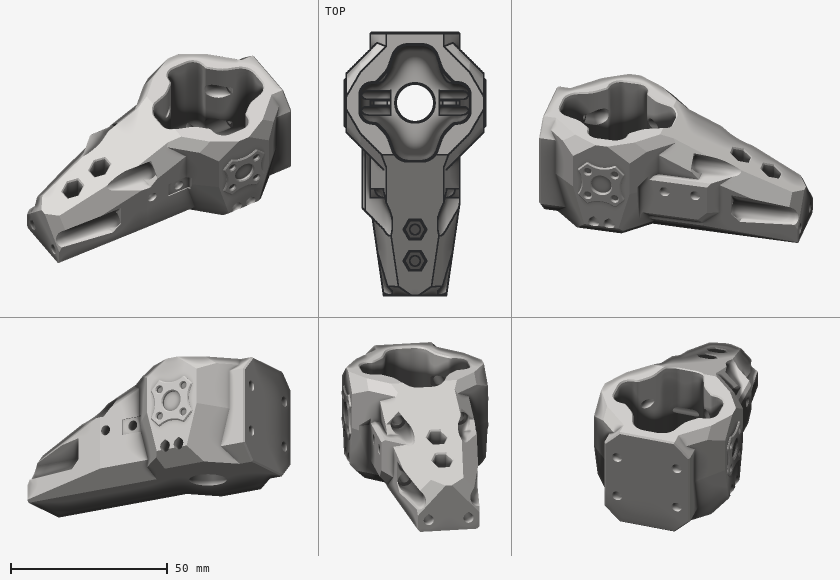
import cadquery as cq
import math

HEIGHT = 35.0
BACK_Y = 22.5
FRONT_Y = -61.5
BIG = 200.0
OVERCUT = 1.0
ON_OUTLINE = 0.005
INSIDE = cq.Vector(0, -5, 10)
SIDES = (-1, 1)

BEAM_HALF = 14.35
TIP_HALF = 10.0
TAPER_Y = -31.5
EDGE_CUT = 5.15
SLOPE_EDGE_DROP = 5.3
SLOPE_Y = -16.5
TIP_Z = 15.1
TIP_BEVEL_Y = -58.6
TIP_BEVEL_LOW_Z = 5.5
TIP_BEVEL_TOP_X = 1.0
END_CHAMFER = 0.5
SLOPE = (HEIGHT - TIP_Z) / (SLOPE_Y - FRONT_Y)
TAPER = (BEAM_HALF - TIP_HALF) / (TAPER_Y - FRONT_Y)

HEAD_HALF = 22.0
HEAD_FLAT = 9.3
HEAD_DIAGONAL = HEAD_HALF + HEAD_FLAT
CROWN = 2.9
CORNER_X = 17.3
CORNER_Y = 10.0
FACET_SIDE_Y = 1.9
FACET_SIDE_Z = 29.8
WAIST_Z = 18.3
WAIST_BEAM_Z = 17.25
LEAN_Y = 5.6
HEAD_BASE_CUT = 4.7
LEAN_BASE_CUT = 3.1

FLOOR_Z = 7.1
FLOOR_FILLET = 2.0
RIM_CHAMFER = 0.45
LOBE_CORNERS = [(5.7, 18.4, 5.0), (8.5, 10.3, 8.0), (12.2, 6.4, 1.5), (17.4, 5.9, 3.9)]
BORE_D = 12.0
BORE_CHAMFER = 0.4

SCREW_D = 3.3
SCREW_HEAD_D = 5.6
SCREW_X = 10.0
LOW_SCREW_Z = 10.1
HIGH_SCREW_Z = 25.1
LOW_SLOT_Y = -40.4
HIGH_SLOT_Y = -27.4
REAR_SEAT_Y = 13.6
HEAD_RECESS = 3.6

BLOCK_X = 16.85
BLOCK_TOP_Z = HIGH_SCREW_Z - SCREW_HEAD_D / 2
BLOCK_TOP_CHAMFER = 1.0
BLOCK_LOW_Z = 8.7
BLOCK_FRONT_Y = -33.5
BLOCK_CORNER = 3.1
BLOCK_REAR_Y = -11.2
BLOCK_RELIEF_Z = 19.7
CROSS_HOLE_Y = (-19.5, -29.5)
CROSS_HOLE_Z = 17.6
FAR_RELIEF_LENGTH = 7.8
FAR_RELIEF_HEIGHT = 5.2
FAR_RELIEF_DEPTH = 0.3

PAD_Z = 20.45
PAD_RAISE = 0.5
PAD_CHAMFER = 0.4
PAD_HOLE_OFFSET = 4.43
PAD_HOLE_D = 2.2
PAD_REACH = 7.9
PAD_TIP_HALF = 4.6
PAD_CORNER_R = 0.7
PAD_WAIST = 6.4
PAD_BORE_D = 6.6
PAD_HOLE_CHAMFER = 0.35
PAD_DEPTH = 1.0

PIN_D = 3.6
PIN_Y = 2.53
PIN_Z = 5.9
PIN_END_X = 7.7
ROOF_RISE = 1.25
TROUGH_WIDTH = 2.2
TROUGH_DEPTH = 1.1
TROUGH_END_X = 14.3
TIP_HOLE_X = 6.45
TIP_HOLE_Z = 3.8
TIP_HOLE_DEPTH = 10.0
NUT_Y = (-40.4, -50.4)
NUT_FLATS = 5.7
NUT_FLOOR_Z = 10.0
NUT_HOLE_END_Z = 3.0
NUT_CHAMFER = 0.4


def trim(body, p, q, r):
    """Remove everything beyond the plane through three points."""
    a, b, c = cq.Vector(*p), cq.Vector(*q), cq.Vector(*r)
    normal = (b - a).cross(c - a)
    if normal.dot(INSIDE - a) > 0:
        normal = normal * -1
    plane = cq.Plane(origin=a, normal=normal)
    return body.cut(cq.Workplane(plane).rect(BIG, BIG).extrude(BIG))


def trim_sides(body, *points):
    """Trim with a plane on +X and its mirror image on -X."""
    for side in SIDES:
        body = trim(body, *[(side * x, y, z) for x, y, z in points])
    return body


def slope_z(y):
    """Height of the sloped top at a given y."""
    return HEIGHT - SLOPE * (SLOPE_Y - y)


def cylinder_x(d, x0, x1, y, z):
    return cq.Workplane("YZ", origin=(x0, 0, 0)).center(y, z).circle(d / 2).extrude(x1 - x0)


def cylinder_y(d, y0, y1, x, z):
    return cq.Workplane("XZ", origin=(0, y0, 0)).center(x, z).circle(d / 2).extrude(y0 - y1)


def cylinder_z(d, z0, z1, y):
    return cq.Workplane("XY", origin=(0, y, z0)).circle(d / 2).extrude(z1 - z0)


def teardrop(plane, d, u, v):
    """A round hole outline with a pointed roof."""
    r = d / 2
    rise = r / ROOF_RISE
    half = math.sqrt(r ** 2 - rise ** 2)
    return (plane.moveTo(u - half, v + rise).threePointArc((u, v - r), (u + half, v + rise))
            .lineTo(u, v + r * ROOF_RISE).close())


def make_beam():
    """Chamfered beam that narrows and slopes down to the tip."""
    outline = [(-BEAM_HALF, BACK_Y), (BEAM_HALF, BACK_Y), (BEAM_HALF, TAPER_Y), (TIP_HALF, FRONT_Y),
               (-TIP_HALF, FRONT_Y), (-BEAM_HALF, TAPER_Y)]
    beam = cq.Workplane("XY").polyline(outline).close().extrude(HEIGHT)
    inner = BEAM_HALF - EDGE_CUT
    tip_inner = TIP_HALF - EDGE_CUT
    beam = trim_sides(beam, (inner, 0, 0), (inner, 1, 0), (BEAM_HALF, 0, EDGE_CUT))
    beam = trim_sides(beam, (inner, 0, HEIGHT), (inner, 1, HEIGHT), (BEAM_HALF, 0, HEIGHT - EDGE_CUT))
    beam = trim_sides(beam, (inner, SLOPE_Y, HEIGHT), (inner, TAPER_Y, slope_z(TAPER_Y)),
                      (BEAM_HALF, SLOPE_Y, HEIGHT - SLOPE_EDGE_DROP))
    beam = trim_sides(beam, (inner, TAPER_Y, slope_z(TAPER_Y)), (tip_inner, FRONT_Y, TIP_Z),
                      (BEAM_HALF, TAPER_Y, slope_z(TAPER_Y) - SLOPE_EDGE_DROP))
    bevel_x = tip_inner + TAPER * (TIP_BEVEL_Y - FRONT_Y)
    beam = trim_sides(beam, (TIP_HALF, FRONT_Y, TIP_BEVEL_LOW_Z), (TIP_BEVEL_TOP_X, FRONT_Y, TIP_Z),
                      (bevel_x, TIP_BEVEL_Y, slope_z(TIP_BEVEL_Y)))
    return beam.faces(">Y").chamfer(END_CHAMFER)


def make_head():
    """Faceted octagonal housing around the bore."""
    d = HEAD_DIAGONAL
    rear_y = BACK_Y - OVERCUT
    rear_x = d - rear_y
    outline = [(HEAD_HALF, HEAD_FLAT), (rear_x, rear_y), (-rear_x, rear_y), (-HEAD_HALF, HEAD_FLAT),
               (-HEAD_HALF, -HEAD_FLAT), (0, -d), (HEAD_HALF, -HEAD_FLAT)]
    head = cq.Workplane("XY").polyline(outline).close().extrude(HEIGHT)
    base_x = HEAD_HALF - HEAD_BASE_CUT
    head = trim_sides(head, (base_x, 0, 0), (base_x, 1, 0), (HEAD_HALF, 0, HEAD_BASE_CUT))
    lean = (HEAD_FLAT - LEAN_Y) / (WAIST_Z - HEAD_BASE_CUT)
    low_diagonal = HEAD_HALF + LEAN_Y - lean * (HEAD_BASE_CUT - LEAN_BASE_CUT)
    base_diagonal = low_diagonal - LEAN_BASE_CUT * math.sqrt(2)
    crown_diagonal = d - CROWN * math.sqrt(2)
    for end in SIDES:
        head = trim_sides(head, (crown_diagonal, 0, HEIGHT), (0, end * crown_diagonal, HEIGHT),
                          (d, 0, HEIGHT - CROWN))
        head = trim_sides(head, (CORNER_X, end * CORNER_Y, HEIGHT), (HEAD_HALF, end * FACET_SIDE_Y, HEIGHT),
                          (HEAD_HALF, end * HEAD_FLAT, FACET_SIDE_Z))
        head = trim_sides(head, (HEAD_HALF, end * HEAD_FLAT, WAIST_Z),
                          (HEAD_HALF, end * LEAN_Y, HEAD_BASE_CUT),
                          (BEAM_HALF, end * (d - BEAM_HALF), WAIST_BEAM_Z))
    return trim_sides(head, (low_diagonal, 0, LEAN_BASE_CUT), (0, -low_diagonal, LEAN_BASE_CUT),
                      (base_diagonal, 0, 0))


def cut_block_relief(head):
    """Clear the head beside the rear end of the block."""
    rise = HEIGHT - BLOCK_RELIEF_Z
    outline = [(BLOCK_REAR_Y, -OVERCUT), (BLOCK_REAR_Y, BLOCK_RELIEF_Z), (BLOCK_REAR_Y - rise, HEIGHT),
               (FRONT_Y, HEIGHT), (FRONT_Y, -OVERCUT)]
    relief = cq.Workplane("YZ", origin=(-BLOCK_X, 0, 0)).polyline(outline).close().extrude(-BIG)
    return head.cut(relief)


def make_block():
    """Chamfered side block on -X that carries the cross holes."""
    root_x = SCREW_X
    c = BLOCK_TOP_CHAMFER
    outline = [(-root_x, BLOCK_TOP_Z), (c - BLOCK_X, BLOCK_TOP_Z), (-BLOCK_X, BLOCK_TOP_Z - c),
               (-BLOCK_X, BLOCK_LOW_Z), (-root_x, BLOCK_LOW_Z - BLOCK_X + root_x)]
    block = (cq.Workplane("XZ", origin=(0, BLOCK_REAR_Y, 0)).polyline(outline).close()
             .extrude(BLOCK_REAR_Y - FRONT_Y))
    face_edge = (-BLOCK_X, BLOCK_FRONT_Y, BLOCK_LOW_Z + BLOCK_CORNER)
    block = trim(block, face_edge, (-BLOCK_X, BLOCK_FRONT_Y, 0),
                 (-root_x, BLOCK_FRONT_Y - BLOCK_X + root_x, 0))
    inset = BLOCK_X - BEAM_HALF
    return trim(block, face_edge, (-BLOCK_X, BLOCK_FRONT_Y + BLOCK_CORNER, BLOCK_LOW_Z),
                (-BEAM_HALF, TAPER_Y, BLOCK_LOW_Z - inset))


def lobe_outline():
    """Sharp-cornered outline of the four-lobed cavity."""
    corners = [(x, y) for x, y, _ in LOBE_CORNERS]
    right = corners + [(x, -y) for x, y in reversed(corners)]
    return right + [(-x, -y) for x, y in right]


def make_cavity():
    """Four-lobed cavity solid with rounded upright corners."""
    cavity = cq.Workplane("XY", origin=(0, 0, FLOOR_Z)).polyline(lobe_outline()).close().extrude(HEIGHT)
    for x, y, radius in LOBE_CORNERS:
        for sx in SIDES:
            for sy in SIDES:
                spot = cq.selectors.NearestToPointSelector((sx * x, sy * y, FLOOR_Z + HEIGHT / 2))
                cavity = cavity.edges("|Z").edges(spot).fillet(radius)
    return cavity


def cut_cavity(body):
    """Cut the cavity, chamfer its rim and open the bore in its floor."""
    cavity = make_cavity()
    walls = cavity.faces("<Z").val().outerWire()
    body = body.cut(cavity.faces("<Z").edges().fillet(FLOOR_FILLET))

    def on_rim(edge):
        middle = edge.positionAt(0.5)
        foot = cq.Vertex.makeVertex(middle.x, middle.y, FLOOR_Z)
        return middle.z > HEIGHT / 2 and walls.distance(foot) < ON_OUTLINE

    rim = [edge for edge in body.edges().vals() if on_rim(edge)]
    body = body.newObject(rim).chamfer(RIM_CHAMFER)
    bore = cylinder_z(BORE_D, -OVERCUT, HEIGHT, 0)
    flare = (cq.Workplane("XY", origin=(0, 0, FLOOR_Z)).circle(BORE_D / 2 + BORE_CHAMFER)
             .workplane(offset=-BORE_CHAMFER).circle(BORE_D / 2).loft())
    return body.cut(bore).cut(flare)


def screw_slot(side, z, rear_y):
    """Room for a screw head that opens to the side of the beam."""
    r = SCREW_HEAD_D / 2
    k = r / math.sqrt(2)
    reach = BEAM_HALF
    length = rear_y - FRONT_Y + OVERCUT
    section = [(SCREW_X - k, z + k), (SCREW_X - k + reach, z + k + reach), (SCREW_X - k + reach, z - r),
               (SCREW_X, z - r), (SCREW_X, z)]
    section = [(side * u, v) for u, v in section]
    opening = cq.Workplane("XZ", origin=(0, rear_y, 0)).polyline(section).close().extrude(length)
    corner = [(rear_y, z), (rear_y, z - r), (rear_y - r, z - r)]
    ramp = cq.Workplane("YZ").polyline(corner).close().extrude(BIG / 2, both=True)
    head_bore = cylinder_y(SCREW_HEAD_D, rear_y + HEAD_RECESS, FRONT_Y - OVERCUT, side * SCREW_X, z)
    return opening.cut(ramp).union(head_bore)


def cut_screws(body):
    """Four lengthwise screw holes with head bores at the front and in the cavity."""
    for side in SIDES:
        x = side * SCREW_X
        for z, rear_y in ((LOW_SCREW_Z, LOW_SLOT_Y), (HIGH_SCREW_Z, HIGH_SLOT_Y)):
            body = body.cut(screw_slot(side, z, rear_y))
            body = body.cut(cylinder_y(SCREW_D, BACK_Y + OVERCUT, FRONT_Y - OVERCUT, x, z))
            body = body.cut(cylinder_y(SCREW_HEAD_D, REAR_SEAT_Y, 0, x, z))
    return body


def cut_cross_holes(body):
    """Two holes along X through the block and the beam."""
    for y in CROSS_HOLE_Y:
        body = body.cut(cylinder_x(SCREW_D, -HEAD_HALF, HEAD_HALF, y, CROSS_HOLE_Z))
    relief_spot = (BEAM_HALF - FAR_RELIEF_DEPTH, CROSS_HOLE_Y[0], CROSS_HOLE_Z)
    relief = (cq.Workplane("YZ", origin=relief_spot).rect(FAR_RELIEF_LENGTH, FAR_RELIEF_HEIGHT)
              .extrude(HEAD_HALF))
    return body.cut(relief)


def make_pad(side):
    """Thin four-armed raised pad on a flat side of the head."""
    a, b, w = PAD_REACH, PAD_TIP_HALF, PAD_WAIST
    outline = (cq.Workplane("YZ", origin=(side * (HEAD_HALF - PAD_RAISE), 0, PAD_Z)).moveTo(b, a)
               .lineTo(a, b).threePointArc((w, 0), (a, -b))
               .lineTo(b, -a).threePointArc((0, -w), (-b, -a))
               .lineTo(-a, -b).threePointArc((-w, 0), (-a, b))
               .lineTo(-b, a).threePointArc((0, w), (b, a)).close())
    pad = outline.extrude(side * 2 * PAD_RAISE)
    pad = pad.edges("|X").fillet(PAD_CORNER_R)
    return pad.faces(">X" if side > 0 else "<X").edges().chamfer(PAD_CHAMFER)


def pad_hole(side, d, y, z):
    """Blind hole in a pad with a chamfered mouth."""
    face_x = side * (HEAD_HALF + PAD_RAISE)
    plane = cq.Workplane("YZ", origin=(face_x, y, z))
    flare = (plane.circle(d / 2 + PAD_HOLE_CHAMFER).workplane(offset=-side * PAD_HOLE_CHAMFER)
             .circle(d / 2).loft())
    return plane.circle(d / 2).extrude(-side * PAD_DEPTH).union(flare)


def add_pads(body):
    """Both pads with their centre bores and corner holes."""
    for side in SIDES:
        body = body.union(make_pad(side))
        body = body.cut(pad_hole(side, PAD_BORE_D, 0, PAD_Z))
        for sy in SIDES:
            for sz in SIDES:
                y = sy * PAD_HOLE_OFFSET
                body = body.cut(pad_hole(side, PAD_HOLE_D, y, PAD_Z + sz * PAD_HOLE_OFFSET))
    return body


def cut_pin_holes(body):
    """Teardrop holes in the sides of the head and in the tip."""
    for side in SIDES:
        for y in (-PIN_Y, PIN_Y):
            plane = cq.Workplane("YZ", origin=(side * PIN_END_X, 0, 0))
            body = body.cut(teardrop(plane, PIN_D, y, PIN_Z).extrude(side * HEAD_HALF))
        plane = cq.Workplane("XZ", origin=(0, FRONT_Y, 0))
        body = body.cut(teardrop(plane, SCREW_D, side * TIP_HOLE_X, TIP_HOLE_Z).extrude(-TIP_HOLE_DEPTH))
    return body


def cut_trough(body):
    """Shallow troughs with sloped ends in the cavity floor, between the pin holes."""
    x0, x1, drop = PIN_END_X, TROUGH_END_X, TROUGH_DEPTH
    for side in SIDES:
        section = [(x0, FLOOR_Z), (x1, FLOOR_Z), (x1 - drop, FLOOR_Z - drop), (x0 + drop, FLOOR_Z - drop)]
        section = [(side * u, v) for u, v in section]
        trough = cq.Workplane("XZ").polyline(section).close().extrude(TROUGH_WIDTH / 2, both=True)
        body = body.cut(trough)
    return body


def cut_nut_pockets(body):
    """Hexagonal nut pockets in the slope, each with a screw hole below."""
    corner_d = NUT_FLATS / math.cos(math.pi / 6)
    for y in NUT_Y:
        pocket = cq.Workplane("XY", origin=(0, y, NUT_FLOOR_Z)).polygon(6, corner_d).extrude(HEIGHT)
        body = body.cut(pocket)
        mouth = cq.selectors.BoxSelector((-corner_d, y - NUT_FLATS, slope_z(y) - NUT_FLATS / 2),
                                         (corner_d, y + NUT_FLATS, slope_z(y) + NUT_FLATS / 2))
        body = body.edges(mouth).edges("not |Z").chamfer(NUT_CHAMFER)
        body = body.cut(cylinder_z(SCREW_D, NUT_HOLE_END_Z, NUT_FLOOR_Z, y))
    return body


def build():
    """Assemble the part."""
    body = make_beam().union(cut_block_relief(make_head()))
    body = trim(body, (0, SLOPE_Y, HEIGHT), (1, SLOPE_Y, HEIGHT), (0, FRONT_Y, TIP_Z))
    body = cut_cavity(body)
    body = body.union(make_block())
    body = cut_nut_pockets(body)
    body = cut_screws(body)
    body = cut_cross_holes(body)
    body = add_pads(body)
    body = cut_pin_holes(body)
    return cut_trough(body)


result = build()